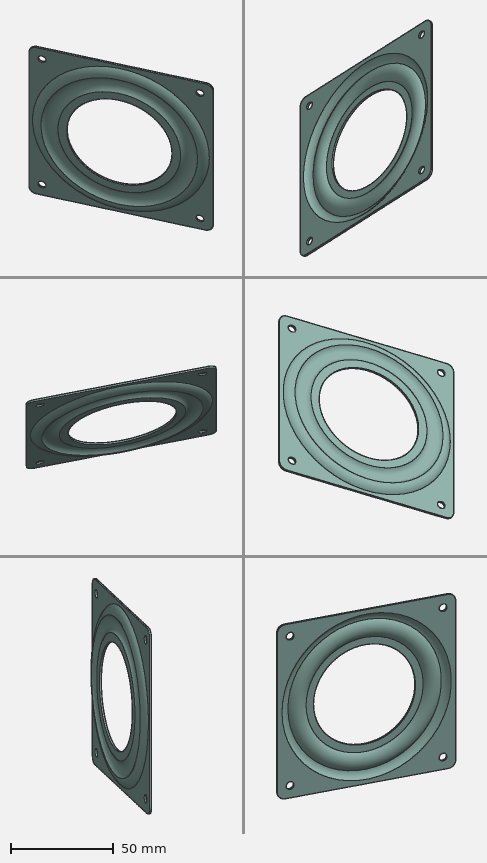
import cadquery as cq
import math

side = 94.5
total_depth = 3.6
sheet = 1.0
corner_radius = 4.1
screw_hole_diameter = 4.1
screw_hole_pitch = 81.0

opening_radius = 54.0 / 2
groove_inner_radius = 31.5
crest_radius = 40.2
dome_radius = 45.4

dome_height = total_depth - sheet
dome_width = dome_radius - crest_radius
dome_arc_radius = (dome_width**2 + dome_height**2) / (2 * dome_height)
dome_center_y = dome_arc_radius - total_depth
dome_back_radius = dome_arc_radius - sheet

groove_middle = (groove_inner_radius + crest_radius) / 2
groove_half_width = crest_radius - groove_middle
groove_arc_radius = dome_back_radius
groove_center_y = -total_depth - math.sqrt(groove_arc_radius**2 - groove_half_width**2)
groove_back_radius = groove_arc_radius + sheet


def dome_back_y(radius):
    """Depth of the dome's back surface at a distance from the axis."""
    return dome_center_y - math.sqrt(dome_back_radius**2 - (radius - crest_radius) ** 2)


def circle_intersection():
    """Point where the back arcs of the groove and the dome cross, just outside the crest."""
    dx = crest_radius - groove_middle
    dy = dome_center_y - groove_center_y
    distance = math.hypot(dx, dy)
    along = (distance**2 + groove_back_radius**2 - dome_back_radius**2) / (2 * distance)
    across = math.sqrt(groove_back_radius**2 - along**2)
    return (
        groove_middle + (along * dx + across * dy) / distance,
        groove_center_y + (along * dy - across * dx) / distance,
    )


def make_plate():
    plate = cq.Workplane("XZ").rect(side, side).extrude(sheet).edges("|Y").fillet(corner_radius)
    screw_holes = (
        cq.Workplane("XZ")
        .rect(screw_hole_pitch, screw_hole_pitch, forConstruction=True)
        .vertices()
        .circle(screw_hole_diameter / 2)
        .extrude(sheet)
    )
    seat = cq.Workplane("XZ").circle(dome_radius).extrude(sheet)
    return plate.cut(screw_holes).cut(seat)


def make_formed_ring():
    annulus_back_y = sheet - total_depth
    back_half_width = math.sqrt(groove_back_radius**2 - (annulus_back_y - groove_center_y) ** 2)
    dome_back_foot = crest_radius + math.sqrt(dome_back_radius**2 - dome_center_y**2)
    back_crest = circle_intersection()
    dome_mid = crest_radius + dome_width / 2
    dome_mid_y = dome_center_y - math.sqrt(dome_arc_radius**2 - (dome_width / 2) ** 2)
    back_mid = (back_crest[0] + dome_back_foot) / 2
    section = (
        cq.Workplane("XY")
        .moveTo(opening_radius, -total_depth)
        .lineTo(groove_inner_radius, -total_depth)
        .threePointArc((groove_middle, groove_center_y + groove_arc_radius), (crest_radius, -total_depth))
        .threePointArc((dome_mid, dome_mid_y), (dome_radius, -sheet))
        .lineTo(dome_radius, 0)
        .lineTo(dome_back_foot, 0)
        .threePointArc((back_mid, dome_back_y(back_mid)), back_crest)
        .threePointArc(
            (groove_middle, groove_center_y + groove_back_radius),
            (groove_middle - back_half_width, annulus_back_y),
        )
        .lineTo(opening_radius, annulus_back_y)
        .close()
    )
    return section.revolve(360, (0, 0, 0), (0, 1, 0))


result = make_plate().union(make_formed_ring())